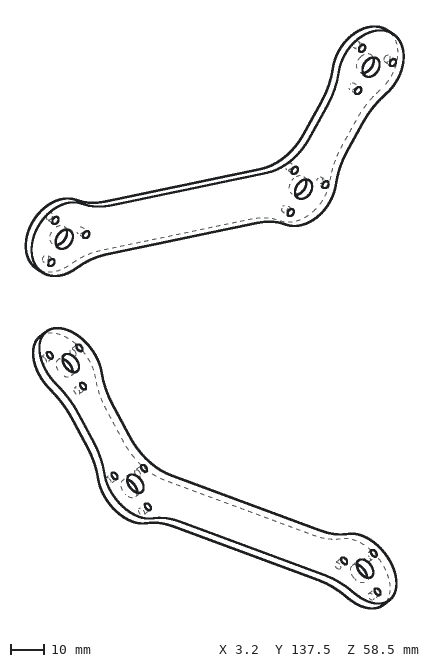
import cadquery as cq
import math

overall_length = 137.5
thickness = 3.2
end_radius = 12.1
arm_width = 16.4
short_arm_length = 42.4
neck_radius = 23.7
long_arm_tilt = 6.0
elbow_angle = 120.0
shaft_hole_diameter = 6.3
screw_hole_diameter = 2.3
screw_circle_radius = 8.1
screw_count = 3

half_width = arm_width / 2
long_direction = 180 - long_arm_tilt
short_direction = long_direction - elbow_angle
short_arm_reach = short_arm_length * math.cos(math.radians(short_direction))
long_arm_reach = overall_length - 2 * end_radius - short_arm_reach
long_arm_length = long_arm_reach / math.cos(math.radians(long_arm_tilt))

neck_length = math.sqrt((end_radius + neck_radius) ** 2 - (half_width + neck_radius) ** 2)
rim_fraction = end_radius / (end_radius + neck_radius)
rim_along = neck_length * rim_fraction
rim_side = (half_width + neck_radius) * rim_fraction
neck_angle = math.atan2(half_width + neck_radius, neck_length)
neck_mid_angle = (neck_angle + math.pi / 2) / 2
neck_mid_along = neck_length - neck_radius * math.cos(neck_mid_angle)
neck_mid_side = half_width + neck_radius * (1 - math.sin(neck_mid_angle))

half_elbow = math.radians(elbow_angle / 2)
inner_radius = (end_radius * math.sin(half_elbow) - half_width) / (1 - math.sin(half_elbow))
inner_along = (half_width + inner_radius) / math.tan(half_elbow)


def polar(radius, degrees):
    """Point at a distance and direction from the elbow centre, as (Y, Z)."""
    angle = math.radians(degrees)
    return radius * math.cos(angle), radius * math.sin(angle)


def on_arm(direction, along, side):
    """Point at a distance along an arm and to the left of its centre line."""
    forward = polar(along, direction)
    sideways = polar(side, direction + 90)
    return forward[0] + sideways[0], forward[1] + sideways[1]


def add_arm_tip(outline, direction, length):
    """Go up the right edge of an arm, around its round end and back to the left neck."""
    base = length - neck_length
    rim = length - rim_along
    neck_mid = length - neck_mid_along
    return (
        outline.lineTo(*on_arm(direction, base, -half_width))
        .threePointArc(on_arm(direction, neck_mid, -neck_mid_side), on_arm(direction, rim, -rim_side))
        .threePointArc(on_arm(direction, length + end_radius, 0), on_arm(direction, rim, rim_side))
        .threePointArc(on_arm(direction, neck_mid, neck_mid_side), on_arm(direction, base, half_width))
    )


def make_plate():
    elbow_rim_middle = polar(end_radius, long_direction + 180 - elbow_angle / 2)
    inner_middle = polar(end_radius, long_direction - elbow_angle / 2)
    outline = cq.Workplane("YZ").moveTo(*on_arm(short_direction, neck_length, -half_width))
    outline = add_arm_tip(outline, short_direction, short_arm_length)
    outline = outline.lineTo(*on_arm(short_direction, inner_along, half_width))
    outline = outline.threePointArc(inner_middle, on_arm(long_direction, inner_along, -half_width))
    outline = add_arm_tip(outline, long_direction, long_arm_length)
    outline = (
        outline.lineTo(*on_arm(long_direction, neck_length, half_width))
        .threePointArc(
            on_arm(long_direction, neck_mid_along, neck_mid_side),
            on_arm(long_direction, rim_along, rim_side),
        )
        .threePointArc(elbow_rim_middle, on_arm(short_direction, rim_along, -rim_side))
        .threePointArc(
            on_arm(short_direction, neck_mid_along, -neck_mid_side),
            on_arm(short_direction, neck_length, -half_width),
        )
    )
    return outline.close().extrude(thickness)


def make_holes(centers):
    """Shaft holes, each ringed by screw holes with one on the line of the long arm."""
    screw_points = []
    for y, z in centers:
        for i in range(screw_count):
            dy, dz = polar(screw_circle_radius, -long_arm_tilt + i * 360 / screw_count)
            screw_points.append((y + dy, z + dz))
    shafts = cq.Workplane("YZ").pushPoints(centers).circle(shaft_hole_diameter / 2).extrude(thickness)
    screws = cq.Workplane("YZ").pushPoints(screw_points).circle(screw_hole_diameter / 2).extrude(thickness)
    return shafts.add(screws).combine()


joint_centers = [
    (0, 0),
    polar(short_arm_length, short_direction),
    polar(long_arm_length, long_direction),
]
result = make_plate().cut(make_holes(joint_centers))